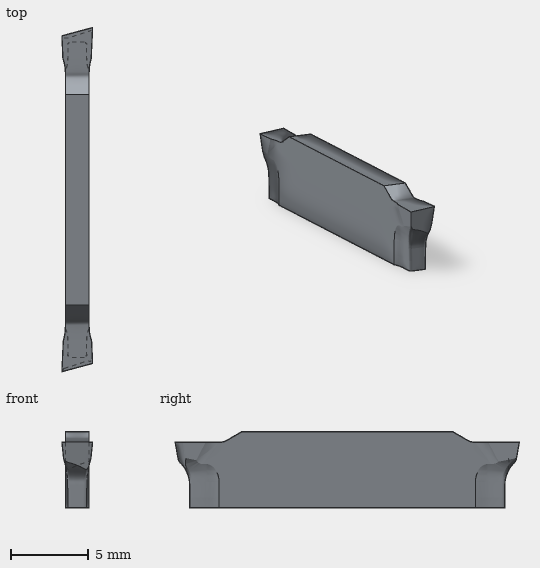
import cadquery as cq
import math


total_length = 22.25
total_height = 4.93
body_width = 1.55
top_flat_half_length = 6.80

ramp_length = 1.0
ramp_angle = math.radians(30)
ramp_blend_radius = 0.8

head_width = 2.0
tip_lead_angle = 15.0
tip_relief_angle = 8.0
nose_radius = 0.1
tip_face_depth = 3.0
flank_taper = math.tan(math.radians(2.6))
flank_relief = math.tan(math.radians(5.5))
head_depth = 1.45
blend_start_top = 8.24
blend_start_low = 9.33
flank_root_top = 9.12
flank_root_low = 9.88

stem_end = 10.19
stem_root = 8.28
stem_flat_start = 9.12
stem_width_low = 1.19
stem_width = 1.25
stem_straight_height = 0.65
stem_wheel_height = 1.65
stem_wheel_radius = 4.6
stem_corner_radius = 0.2
underside_start = 1.48
underside_radius = 2.0

half_length = total_length / 2
half_body = body_width / 2
half_head = head_width / 2
short_corner = half_length - head_width * math.tan(math.radians(tip_lead_angle))
ramp_end = top_flat_half_length + ramp_length
blend_drop = ramp_blend_radius * (1 - math.cos(ramp_angle))
ramp_end_height = total_height - ramp_length * math.tan(ramp_angle)
rake_height = ramp_end_height - blend_drop
rake_start = ramp_end + ramp_blend_radius * math.sin(ramp_angle)

spare = 0.5
blank_end = half_length + spare
blank_half_width = half_head + spare
edge_margin = spare / 10


def end_blank():
    """The +X side of the +Y end, with the side outline from the part's middle to past the tip."""
    half_ramp = ramp_angle / 2
    blend_mid_y = rake_start - ramp_blend_radius * math.sin(half_ramp)
    blend_mid_z = rake_height + ramp_blend_radius * (1 - math.cos(half_ramp))
    overhang = blank_end - stem_end
    arc_angle = math.acos(1 - overhang / underside_radius)
    arc_mid_y = stem_end + underside_radius * (1 - math.cos(arc_angle / 2))
    arc_mid_z = underside_start + underside_radius * math.sin(arc_angle / 2)
    arc_end_z = underside_start + underside_radius * math.sin(arc_angle)
    return (
        cq.Workplane("YZ")
        .moveTo(0, 0)
        .lineTo(stem_end, 0)
        .lineTo(stem_end, underside_start)
        .threePointArc((arc_mid_y, arc_mid_z), (blank_end, arc_end_z))
        .lineTo(blank_end, rake_height)
        .lineTo(rake_start, rake_height)
        .threePointArc((blend_mid_y, blend_mid_z), (ramp_end, ramp_end_height))
        .lineTo(top_flat_half_length, total_height)
        .lineTo(0, total_height)
        .close()
        .extrude(blank_half_width)
    )


def stem_plan(height, half_stem):
    """Plan of the stock removed on the +X side of the stem, reaching out to the wheel's axis."""
    axis_x = stem_width / 2 + stem_wheel_radius
    return (
        cq.Workplane("XY", origin=(0, 0, height))
        .moveTo(half_stem, blank_end + spare)
        .lineTo(half_stem, stem_flat_start)
        .tangentArcPoint((half_body, stem_root), relative=False)
        .lineTo(axis_x, stem_root)
        .lineTo(axis_x, blank_end + spare)
        .close()
    )


def stem_side_cuts():
    """Straight foot, slightly drafted middle and wheel-ground flare of one stem side."""
    half_low = stem_width_low / 2
    half_stem = stem_width / 2
    foot = stem_plan(0, half_low).extrude(stem_straight_height)
    low_wire = stem_plan(stem_straight_height, half_low).wires().val()
    high_wire = stem_plan(stem_wheel_height, half_stem).wires().val()
    middle = cq.Workplane(cq.Solid.makeLoft([low_wire, high_wire], True))
    axis_x = half_stem + stem_wheel_radius
    wheel = stem_plan(stem_wheel_height, half_stem).revolve(90, (axis_x, 0, 0), (axis_x, 1, 0))
    return foot, middle, wheel


def stem_corner_edges(blank):
    """Edges where the stem's front meets its +X side, from the foot up along the underside."""
    corner = (stem_width_low / 2 - stem_corner_radius, stem_end - stem_corner_radius, edge_margin)
    far = (blank_half_width - edge_margin, blank_end - edge_margin, rake_height - edge_margin)
    return blank.edges(cq.selectors.BoxSelector(corner, far))


def flank_plan(corner, depth, blend_start, flank_root):
    """Plan of the head on its +X side, at a depth under the rake face.

    The flank narrows from the tip corner back to its root, then an arc runs it into the body side.
    """
    width_at_corner = half_head - depth * flank_relief
    width_at_root = width_at_corner - flank_taper * (corner - flank_root)
    width_at_end = width_at_corner + flank_taper * (blank_end - corner)
    return (
        cq.Workplane("XY", origin=(0, 0, rake_height - depth))
        .lineTo(half_body, 0)
        .lineTo(half_body, blend_start)
        .tangentArcPoint((width_at_root, flank_root), relative=False)
        .lineTo(width_at_end, blank_end)
        .lineTo(0, blank_end)
        .close()
        .wires()
        .val()
    )


def flank(corner):
    """Relieved +X side of the head, for a tip corner at the given Y."""
    low = flank_plan(corner, head_depth, blend_start_low, flank_root_low)
    top = flank_plan(corner, 0, blend_start_top, flank_root_top)
    return cq.Workplane(cq.Solid.makeLoft([low, top], True))


def beyond_tip():
    """Space past the slanted, relieved tip face, ending above the stem's foot."""
    size = 2 * tip_face_depth
    return (
        cq.Workplane("XY")
        .box(size, size, size, centered=(True, False, True))
        .rotate((0, 0, 0), (1, 0, 0), -tip_relief_angle)
        .rotate((0, 0, 0), (0, 0, 1), tip_lead_angle)
        .translate((half_head, half_length, rake_height))
    )


def end_half():
    """The +Y half of the insert."""
    blank = end_blank()
    for cut in stem_side_cuts():
        blank = blank.cut(cut)
    blank = stem_corner_edges(blank).fillet(stem_corner_radius)
    blank = blank.union(blank.mirror("YZ"))
    slab = cq.Workplane("XY").box(body_width, blank_end, total_height, centered=(True, False, False))
    plan = slab.union(flank(half_length)).union(flank(short_corner).mirror("YZ"))
    half = blank.intersect(plan).cut(beyond_tip())
    nose = (-half_head, short_corner, rake_height - head_depth / 3)
    return half.edges(cq.selectors.NearestToPointSelector(nose)).fillet(nose_radius)


half = end_half()
result = half.union(half.rotate((0, 0, 0), (0, 0, 1), 180)).clean()